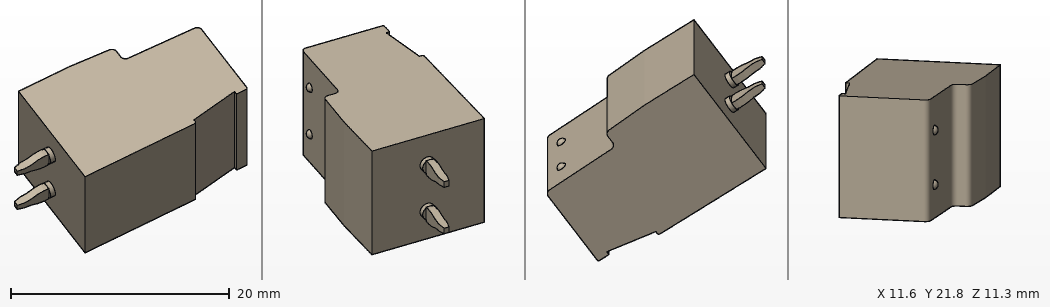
import cadquery as cq


overall_length = 21.8

width = 11.62
depth = 18.0
height = 11.34
draft_start_y = 5.45
shelf_y = 10.05
shelf_outer_x = 0.28
neck_left_x = 1.96
top_left_x = 2.2
corner_radius = 0.5
lip_x = 10.7
lip_y = 16.8
lip_radius = 0.15
undercut_x = 10.35
shoulder_inner_x = 11.2
shoulder_y = 11.95
shoulder_radius = 0.2

pole_pitch = 5.08
pole_heights = [height / 2 - pole_pitch / 2, height / 2 + pole_pitch / 2]

pin_x = 5.71
pin_thickness = 0.8
pin_length = overall_length - depth
collar_radius = 0.75
collar_length = 0.5
root_half = 0.75
bulge_at, bulge_half = 0.95, 0.78
shoulder_at, shoulder_half = 1.68, 0.7
neck_start_at, neck_start_half = 2.15, 0.52
neck_mid_at, neck_mid_half = 2.4, 0.45
neck_end_at, neck_end_half = 2.65, 0.41
neck_foot_at, neck_foot_half = 2.85, 0.4
tip_start_at, tip_start_half = 3.1, 0.37
tip_half = 0.3
tip_thickness = 0.5

bump_y = 16.18
bump_radius = 0.48
bump_center_x = 2.29


def make_housing():
    """Stepped outline with rounded vertical edges."""
    body = (
        cq.Workplane("XY")
        .moveTo(0, 0)
        .lineTo(width, 0)
        .lineTo(width, shoulder_y)
        .lineTo(shoulder_inner_x, shoulder_y)
        .lineTo(undercut_x, lip_y)
        .lineTo(lip_x, lip_y)
        .lineTo(lip_x, depth)
        .lineTo(top_left_x, depth)
        .lineTo(neck_left_x, shelf_y)
        .lineTo(shelf_outer_x, shelf_y)
        .lineTo(0, draft_start_y)
        .close()
        .extrude(height)
    )
    rounded_corners = [
        (width, shoulder_y, shoulder_radius),
        (lip_x, depth, lip_radius),
        (top_left_x, depth, corner_radius),
        (neck_left_x, shelf_y, corner_radius),
        (shelf_outer_x, shelf_y, corner_radius),
    ]
    for x, y, radius in rounded_corners:
        corner = cq.selectors.NearestToPointSelector((x, y, height / 2))
        body = body.edges("|Z").edges(corner).fillet(radius)
    return body


def make_pin(z):
    """Round collar carrying a flat press-fit blade with a tapered tip."""
    collar = (
        cq.Workplane("XZ", origin=(pin_x, 0, z))
        .circle(collar_radius)
        .extrude(collar_length)
    )
    blade = (
        cq.Workplane("YZ", origin=(pin_x, 0, z))
        .moveTo(-collar_length, root_half)
        .lineTo(-bulge_at, bulge_half)
        .lineTo(-shoulder_at, shoulder_half)
        .lineTo(-neck_start_at, neck_start_half)
        .threePointArc((-neck_mid_at, neck_mid_half), (-neck_end_at, neck_end_half))
        .lineTo(-neck_foot_at, neck_foot_half)
        .lineTo(-tip_start_at, tip_start_half)
        .lineTo(-pin_length, tip_half)
        .lineTo(-pin_length, 0)
        .lineTo(-collar_length, 0)
        .close()
        .extrude(pin_thickness / 2, both=True)
    )
    blade = blade.union(blade.mirror("XY", (pin_x, 0, z)))
    plan = (
        cq.Workplane("XY", origin=(pin_x, 0, z - bulge_half))
        .moveTo(-pin_thickness / 2, 0)
        .lineTo(-pin_thickness / 2, -tip_start_at)
        .lineTo(-tip_thickness / 2, -pin_length)
        .lineTo(tip_thickness / 2, -pin_length)
        .lineTo(pin_thickness / 2, -tip_start_at)
        .lineTo(pin_thickness / 2, 0)
        .close()
        .extrude(2 * bulge_half)
    )
    return collar.union(blade.intersect(plan))


def make_bump(z):
    """Ball sunk into the left side, leaving a shallow dome."""
    return cq.Workplane("XY", origin=(bump_center_x, bump_y, z)).sphere(bump_radius)


result = make_housing()
for pole_z in pole_heights:
    result = result.union(make_pin(pole_z)).union(make_bump(pole_z))